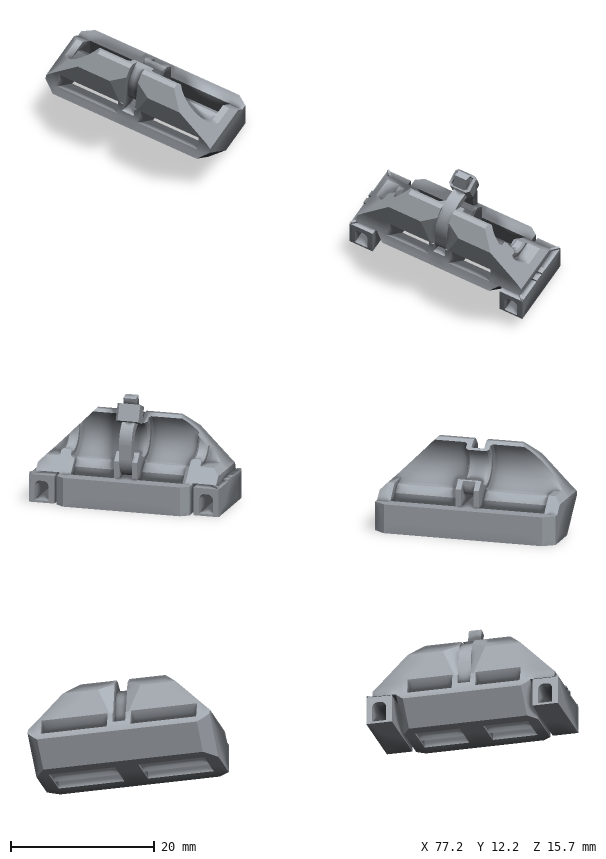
import cadquery as cq
import math

SADDLE_SPACING = 50.0
SADDLE_HALF = 13.2
NARROW_HALF = 9.7
FRONT_Y = -6.65
BACK_Y = 5.5
FLANGE_TOP = 4.2
FRONT_EDGE_Z = 3.25
SEAT_TOP = 12.35
WALL_FRONT_Y = -5.5
WALL_FOOT_Z = 6.5
WALL_CHAMFER = 2.0
LIP_Y = -2.7
LIP_SLOPE = 0.7
FLARE_RADIUS = 5.3
END_SLOPE_SUM = 18.5
OVERHANG_SUM = FRONT_Y + FRONT_EDGE_Z

AXIS_Z = 9.3
CABLE_RADIUS = 2.25
TROUGH_RADIUS = 3.5
TROUGH_FLOOR = 6.25
BACK_SLOPE_SUM = 7.65
POST_Y = BACK_SLOPE_SUM - FLANGE_TOP
POST_TOP = (2.25, 7.8)
POST_INNER = (1.4, 7.6)
POST_SHOULDER = 6.65
HUB_HALF = 1.7
FLANK_CHAMFER = 0.3

WINDOW_FRONT_Y = 1.1
WIDE_WINDOW_END = 11.3
NARROW_WINDOW_END = 8.2
SLOT_UPPER_SUM = 1.1
SLOT_LOWER_SUM = -1.55
WINDOW_CHAMFER = 0.55
RIB_INNER = 8.7
RIB_OUTER = 10.3

RELIEF_APEX_Y = -4.95
RELIEF_SLOPE = 0.39
RELIEF_LEAN = 0.17

WIDE_CHAMFER_X = 1.6
WIDE_CHAMFER_Y = 1.15
NARROW_CHAMFER_X = 1.15
NARROW_CHAMFER_Y = 0.85

TIE_WIDTH = 1.85
TIE_THICKNESS = 1.2
TIE_BACK_RADIUS = 2.4
TIE_TOP_Z = 11.5
TIE_FRONT_Y = -3.9
TIE_BOTTOM_Z = FLANGE_TOP + TIE_THICKNESS
TIE_FRONT_RADIUS = 3.0
TIE_CORNER_RADIUS = 1.55
SLOT_LIP_Z = 5.1
HEAD_CENTRE = (1.5, 13.1)
HEAD_TILT = 22.0
HEAD_WIDTH = 3.3
HEAD_DEPTH = 2.7
HEAD_HEIGHT = 2.5
HEAD_CHAMFER = 0.4
HEAD_WALL = 0.4
HEAD_POCKET = 0.5
TAIL_TILT = -15.0
TAIL_BASE = (0.4, 13.1)
TAIL_LENGTH = 2.5

SLEEVE_OUTER = 13.9
SLEEVE_INNER = 10.2
SLEEVE_FRONT_Y = -6.5
SLEEVE_BACK_Y = 4.3
SLEEVE_TOP = 4.0
CHANNEL_WIDTH = 2.0
CHANNEL_FLOOR = 0.3
CHANNEL_TOP = 3.2
CHANNEL_ROUND = 0.8
TAB_HEIGHT = 0.3
TAB_OVERHANG = 0.1
TAB_LENGTH = 1.2
TAB_WIDTH = 0.9
TAB_PLACES = (-0.55, -2.0)
CORNER_TAB_WIDTH = 0.3
CORNER_TAB_LENGTH = 1.85

NOTCH_TOP = SLEEVE_TOP + TAB_HEIGHT
REACH = 23.15


def prism(outline, x_start, x_end):
    """Extrude a Y-Z outline of straight edges from x_start to x_end."""
    return cq.Workplane("YZ", origin=(x_start, 0, 0)).polyline(outline).close().extrude(x_end - x_start)


def both_ends(solid):
    """The solid together with its mirror image in the centre plane of the saddle."""
    return solid.union(solid.mirror("YZ"))


def cable_bore():
    """Bore for the cable through the whole length of a saddle."""
    return cq.Workplane("YZ", origin=(-REACH, 0, AXIS_Z)).circle(CABLE_RADIUS).extrude(2 * REACH)


def trough(x_inner, x_outer, ring_outside=False):
    """Round trough about the cable axis, with chamfered ring flanks inside and, if wanted, outside."""
    def flank(x, outward):
        chamfer = outward * FLANK_CHAMFER
        return [
            (x - chamfer, 0),
            (x - chamfer, CABLE_RADIUS),
            (x, CABLE_RADIUS + FLANK_CHAMFER),
            (x, TROUGH_RADIUS - FLANK_CHAMFER),
            (x + chamfer, TROUGH_RADIUS),
        ]

    outer_end = flank(x_outer, -1) if ring_outside else [(x_outer, 0), (x_outer, TROUGH_RADIUS)]
    return (
        cq.Workplane("XZ", origin=(0, 0, AXIS_Z))
        .polyline(flank(x_inner, 1) + outer_end[::-1])
        .close()
        .revolve(360, (0, 0, 0), (1, 0, 0))
    )


def saddle_blank():
    """Full-length saddle with the trough still filled and the ends sloped at 45 degrees."""
    flare_centre_y = WALL_FRONT_Y - FLARE_RADIUS
    flare_angle = math.asin((WALL_FOOT_Z - FRONT_EDGE_Z) / FLARE_RADIUS) / 2
    flare_middle = (
        flare_centre_y + FLARE_RADIUS * math.cos(flare_angle),
        WALL_FOOT_Z - FLARE_RADIUS * math.sin(flare_angle),
    )
    blank = (
        cq.Workplane("YZ", origin=(-SADDLE_HALF, 0, 0))
        .moveTo(OVERHANG_SUM, 0)
        .lineTo(BACK_Y, 0)
        .lineTo(BACK_Y, FLANGE_TOP)
        .lineTo(POST_Y, FLANGE_TOP)
        .lineTo(POST_Y, POST_SHOULDER)
        .lineTo(*POST_TOP)
        .lineTo(*POST_INNER)
        .lineTo(LIP_Y + (SEAT_TOP - AXIS_Z) / LIP_SLOPE, AXIS_Z)
        .lineTo(LIP_Y, SEAT_TOP)
        .lineTo(WALL_FRONT_Y + WALL_CHAMFER, SEAT_TOP)
        .lineTo(WALL_FRONT_Y, SEAT_TOP - WALL_CHAMFER)
        .lineTo(WALL_FRONT_Y, WALL_FOOT_Z)
        .threePointArc(flare_middle, (FRONT_Y, FRONT_EDGE_Z))
        .close()
        .extrude(2 * SADDLE_HALF)
    )
    slope_foot = END_SLOPE_SUM - SADDLE_HALF
    slope_head = END_SLOPE_SUM - SEAT_TOP
    side = (
        cq.Workplane("XZ", origin=(0, REACH / 2, 0))
        .polyline([
            (-SADDLE_HALF, 0), (SADDLE_HALF, 0), (SADDLE_HALF, slope_foot), (slope_head, SEAT_TOP),
            (-slope_head, SEAT_TOP), (-SADDLE_HALF, slope_foot),
        ])
        .close()
        .extrude(REACH)
    )
    return blank.intersect(side)


def back_slope(x_start, x_end):
    """Everything above the 45 degree slope behind the cable."""
    return prism(
        [
            (BACK_SLOPE_SUM - TROUGH_FLOOR, TROUGH_FLOOR), (POST_Y, FLANGE_TOP), (REACH, FLANGE_TOP),
            (REACH, REACH), (0, REACH), (0, AXIS_Z), (BACK_SLOPE_SUM - AXIS_Z, AXIS_Z),
        ],
        x_start, x_end,
    )


def window(x_end):
    """Opening behind the trough and the slanting strap slot below it."""
    opening = prism(
        [
            (WINDOW_FRONT_Y, 0), (POST_Y, 0), (POST_Y, SEAT_TOP), (0, SEAT_TOP),
            (0, AXIS_Z - TROUGH_RADIUS), (WINDOW_FRONT_Y, AXIS_Z - TROUGH_RADIUS - WINDOW_FRONT_Y),
        ],
        HUB_HALF, x_end,
    )
    slot = prism(
        [
            (SLOT_LOWER_SUM, 0), (SLOT_UPPER_SUM, 0), (SLOT_UPPER_SUM - REACH, REACH),
            (SLOT_LOWER_SUM - REACH, REACH),
        ],
        HUB_HALF, x_end,
    )
    return opening.union(slot)


def window_chamfer(x_end):
    """Chamfer where the back slope meets the end wall of a window."""
    outline = cq.Wire.makePolygon(
        [
            cq.Vector(x_end, 0, BACK_SLOPE_SUM - WINDOW_CHAMFER),
            cq.Vector(x_end + WINDOW_CHAMFER, 0, BACK_SLOPE_SUM),
            cq.Vector(x_end, 0, BACK_SLOPE_SUM),
        ],
        close=True,
    )
    return cq.Workplane(cq.Solid.extrudeLinear(outline, [], cq.Vector(0, POST_Y, -POST_Y)))


def flat_floored(hollow):
    """The part of a hollow above the flat floor."""
    floor = cq.Workplane("XY").box(2 * REACH, REACH, REACH, centered=(True, True, False))
    return hollow.intersect(floor.translate((0, 0, TROUGH_FLOOR)))


def tie_outline(offset):
    """Y-Z outline of the tie loop, offset outward from its inner face."""
    back = TIE_BACK_RADIUS + offset
    top = TIE_TOP_Z + offset
    front = TIE_FRONT_Y - offset
    bottom = TIE_BOTTOM_Z - offset
    front_radius = TIE_FRONT_RADIUS + offset
    corner = TIE_CORNER_RADIUS + offset
    return (
        cq.Workplane("YZ", origin=(-TIE_WIDTH / 2, 0, 0))
        .moveTo(0, top)
        .lineTo(front + front_radius, top)
        .radiusArc((front, top - front_radius), -front_radius)
        .lineTo(front, bottom + corner)
        .radiusArc((front + corner, bottom), -corner)
        .lineTo(back - corner, bottom)
        .radiusArc((back, bottom + corner), -corner)
        .lineTo(back, TIE_TOP_Z - TIE_BACK_RADIUS)
        .radiusArc((0, top), -back)
        .close()
        .extrude(TIE_WIDTH)
    )


def tie_slot():
    """Slot round the hub in which the tie lies, open at the top, front and back."""
    around = prism(
        [
            (POST_Y, FLANGE_TOP), (TIE_FRONT_Y + TIE_THICKNESS / 2, FLANGE_TOP),
            (WALL_FRONT_Y, SLOT_LIP_Z), (-REACH, SLOT_LIP_Z), (-REACH, REACH), (POST_Y, REACH),
        ],
        -TIE_WIDTH / 2, TIE_WIDTH / 2,
    )
    return around.cut(tie_outline(0))


def front_relief():
    """V groove in the wall front, leaning back towards the top."""
    half_width = (REACH + RELIEF_APEX_Y) / RELIEF_SLOPE
    height = SEAT_TOP - WALL_FOOT_Z
    outline = cq.Wire.makePolygon(
        [
            cq.Vector(0, RELIEF_APEX_Y, WALL_FOOT_Z),
            cq.Vector(-half_width, -REACH, WALL_FOOT_Z),
            cq.Vector(half_width, -REACH, WALL_FOOT_Z),
        ],
        close=True,
    )
    return cq.Workplane(cq.Solid.extrudeLinear(outline, [], cq.Vector(0, RELIEF_LEAN * height, height)))


def flange_corners(half, chamfer_x, chamfer_y, top):
    """Corner chamfers at one flange end: upright at the back, along the undercut at the front."""
    back = (
        cq.Workplane("XY")
        .polyline([
            (half - chamfer_x, BACK_Y), (half, BACK_Y - chamfer_y), (half, BACK_Y),
        ])
        .close()
        .extrude(top)
    )
    run = chamfer_x * math.sqrt(2)
    outline = cq.Wire.makePolygon(
        [
            cq.Vector(half - chamfer_x, OVERHANG_SUM, 0),
            cq.Vector(half, OVERHANG_SUM + run, 0),
            cq.Vector(half, OVERHANG_SUM - run, 0),
            cq.Vector(half - chamfer_x, OVERHANG_SUM - run, 0),
        ],
        close=True,
    )
    front = cq.Workplane(cq.Solid.extrudeLinear(outline, [], cq.Vector(0, -top, top)))
    return back.union(front)


def common_saddle(window_end):
    """Saddle features shared by both saddles."""
    saddle = saddle_blank()
    saddle = saddle.cut(cable_bore())
    saddle = saddle.cut(both_ends(back_slope(HUB_HALF, SADDLE_HALF)))
    saddle = saddle.cut(both_ends(window(window_end)))
    saddle = saddle.cut(front_relief())
    return saddle.cut(tie_slot())


def wide_saddle():
    """Saddle whose flange and trough run to the full length."""
    saddle = common_saddle(WIDE_WINDOW_END)
    saddle = saddle.cut(both_ends(trough(HUB_HALF, WIDE_WINDOW_END)))
    saddle = saddle.cut(both_ends(flat_floored(trough(HUB_HALF, REACH))))
    corners = flange_corners(SADDLE_HALF, WIDE_CHAMFER_X, WIDE_CHAMFER_Y, SEAT_TOP)
    return saddle.cut(both_ends(corners))


def narrow_saddle():
    """Saddle with cable ribs whose flange is cut back to make room for the end sleeves."""
    saddle = common_saddle(NARROW_WINDOW_END)
    saddle = saddle.cut(both_ends(trough(HUB_HALF, RIB_INNER, ring_outside=True)))
    saddle = saddle.cut(both_ends(window_chamfer(NARROW_WINDOW_END)))
    saddle = saddle.cut(both_ends(flat_floored(trough(RIB_OUTER, REACH))))
    notch = (
        cq.Workplane("XY")
        .box(REACH, REACH, NOTCH_TOP, centered=(False, True, False))
        .translate((NARROW_HALF, 0, 0))
    )
    corners = flange_corners(NARROW_HALF, NARROW_CHAMFER_X, NARROW_CHAMFER_Y, NOTCH_TOP)
    return saddle.cut(both_ends(notch.union(corners)))


def cable_tie():
    """Closed loop through the saddle with a tilted head and the cut-off tail."""
    loop = tie_outline(TIE_THICKNESS)
    head = (
        cq.Workplane("XY")
        .box(HEAD_WIDTH, HEAD_DEPTH, HEAD_HEIGHT)
        .edges("|Z")
        .chamfer(HEAD_CHAMFER)
        .faces(">Z")
        .workplane()
        .rect(HEAD_WIDTH - 2 * HEAD_WALL, HEAD_DEPTH - 2 * HEAD_WALL)
        .cutBlind(-HEAD_POCKET)
        .rotate((0, 0, 0), (1, 0, 0), HEAD_TILT)
        .translate((0, *HEAD_CENTRE))
    )
    tail = (
        cq.Workplane("XY")
        .box(TIE_WIDTH, TIE_THICKNESS, TAIL_LENGTH, centered=(True, True, False))
        .rotate((0, 0, 0), (1, 0, 0), TAIL_TILT)
        .translate((0, *TAIL_BASE))
    )
    return loop.union(head).union(tail).cut(tie_outline(0))


def end_sleeve():
    """Sleeve at the +X end: a bar along Y with an arched channel and small tabs on top."""
    width = SLEEVE_OUTER - SLEEVE_INNER
    length = SLEEVE_BACK_Y - SLEEVE_FRONT_Y
    middle_x = (SLEEVE_OUTER + SLEEVE_INNER) / 2
    middle_y = (SLEEVE_FRONT_Y + SLEEVE_BACK_Y) / 2
    channel = (
        cq.Workplane("XY")
        .box(CHANNEL_WIDTH, length, CHANNEL_TOP - CHANNEL_FLOOR, centered=(True, True, False))
        .edges("|Y and >Z")
        .fillet(CHANNEL_ROUND)
        .translate((0, 0, CHANNEL_FLOOR))
    )
    sleeve = (
        cq.Workplane("XY")
        .box(width, length, SLEEVE_TOP, centered=(True, True, False))
        .cut(channel)
        .translate((middle_x, middle_y, 0))
    )
    for tab_y in TAB_PLACES:
        tab = cq.Workplane("XY").box(TAB_LENGTH, TAB_WIDTH, TAB_HEIGHT, centered=(True, True, False))
        tab_x = SLEEVE_OUTER + TAB_OVERHANG - TAB_LENGTH / 2
        sleeve = sleeve.union(tab.translate((tab_x, tab_y, SLEEVE_TOP)))
    for corner_y, turn in ((SLEEVE_BACK_Y, 45), (SLEEVE_FRONT_Y, -45)):
        corner_tab = (
            cq.Workplane("XY")
            .box(CORNER_TAB_LENGTH, CORNER_TAB_WIDTH, TAB_HEIGHT, centered=(True, True, False))
            .translate((-(CORNER_TAB_LENGTH + CORNER_TAB_WIDTH) / 2, 0, 0))
            .rotate((0, 0, 0), (0, 0, 1), turn)
            .translate((SLEEVE_OUTER, corner_y, SLEEVE_TOP))
        )
        sleeve = sleeve.union(corner_tab)
    return sleeve


def in_narrow_place(solid):
    """Move a body from the origin to the place of the narrow saddle."""
    return solid.translate((SADDLE_SPACING, 0, 0))


wide = wide_saddle()
narrow = in_narrow_place(narrow_saddle())
tie = in_narrow_place(cable_tie())
right_sleeve = end_sleeve()
sleeves = [in_narrow_place(s) for s in (right_sleeve, right_sleeve.mirror("YZ"))]

bodies = [wide, narrow, tie, *sleeves]

result = cq.Compound.makeCompound([body.solids().val() for body in bodies])